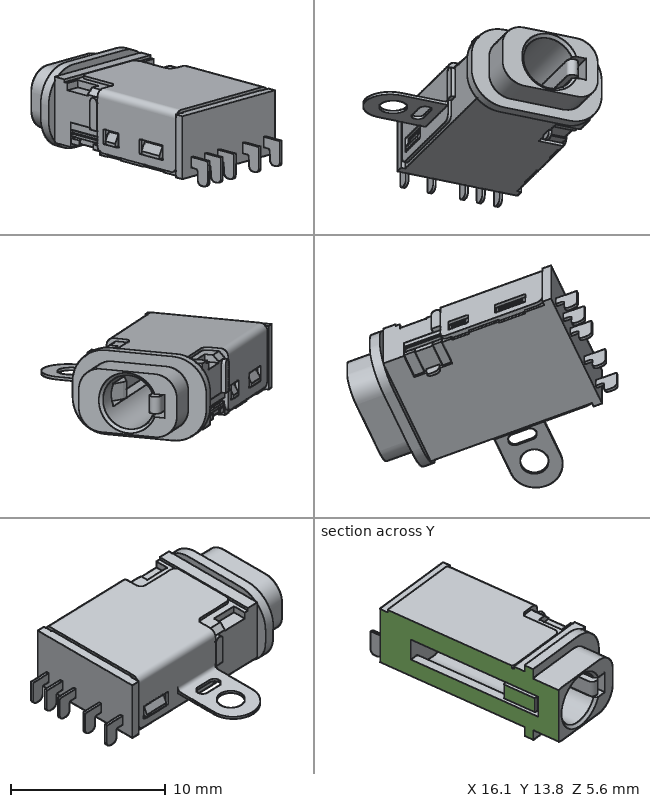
import cadquery as cq

sheet = 0.2
eps = 0.16

nose_width, nose_height, nose_radius = 6.77, 4.2, 1.5
flange_width, flange_height, flange_radius = 9.24, 5.6, 2.3
flange_front = 2.1
flange_back = 2.81

body_y = -0.1
body_half = 3.97
body_left = body_y + body_half
body_right = body_y - body_half
body_bottom = -nose_height / 2
top = 2.33
seat_top = top - sheet
lip_back = 3.68
corner_chamfer = 0.4

shell_front = 6.91
shell_back = 14.03
shell_half = 4.2
shell_left = body_y + shell_half
shell_right = body_y - shell_half
shell_bottom = -1.84
shell_bend = 0.5
shell_corner = 0.42
tongue_front = 3.75
tongue_half = 2.5

plate_front = 14.08
plate_back = 14.68
plate_half = 4.26

bore_radius = 1.8
bore_mouth_radius = 2.0
bore_depth = 12.11
contact_height = 1.13
contact_slot_height = 1.53
right_slot_floor = -2.54
left_slot_front = 1.71
left_slot_floor = 2.42

recess_front = 4.26
recess_top = -0.45
recess_floor = -2.34

pin_bottom = -2.54
pin_tip_width = 0.9
pin_tip_radius = 0.35
rear_pin_places = [3.2, 1.28, -1.02, -2.21, -3.44]

right_windows = [(7.45, 8.85), (10.72, 12.85)]
left_window = (11.27, 13.58)
body_notches = [(7.6, 8.79), (10.89, 12.71)]


def block(x0, x1, y0, y1, z0, z1):
    """Box between two values on each axis."""
    size = (x1 - x0, y1 - y0, z1 - z0)
    return cq.Workplane("XY").box(*size, centered=False).translate((x0, y0, z0))


def rounded_bar(x0, x1, width, height, radius):
    """Bar along the plug axis with rounded long edges."""
    bar = cq.Workplane("YZ", origin=(x0, 0, 0)).rect(width, height).extrude(x1 - x0)
    return bar.edges("|X").fillet(radius)


def mirrored_about_body(shape):
    """The shape together with its mirror image across the middle of the body."""
    return shape.union(shape.mirror("XZ", (0, body_y, 0)))


def make_body():
    lip = block(flange_back, lip_back, body_right, body_left, body_bottom, top)
    seat = block(lip_back - eps, plate_front + eps, body_right, body_left, body_bottom, seat_top)
    pocket_front, pocket_back = 3.97, 5.81
    pocket_depth, pocket_floor = 0.97, 1.65
    pocket = block(pocket_front, pocket_back, body_left - pocket_depth, body_left + eps, pocket_floor, top)
    bevel = (
        cq.Workplane("YZ", origin=(pocket_back, 0, 0))
        .moveTo(body_left - corner_chamfer, seat_top)
        .lineTo(body_left, seat_top)
        .lineTo(body_left, seat_top - corner_chamfer)
        .close()
        .extrude(plate_front - pocket_back)
    )
    seat = seat.cut(mirrored_about_body(pocket)).cut(mirrored_about_body(bevel))

    stop_width, stop_top = 0.61, 1.73
    stop_radius = stop_width / 2
    stop_front = shell_front - stop_width
    stop_outline = (
        cq.Workplane("XZ")
        .moveTo(shell_front, recess_top)
        .lineTo(shell_front, stop_top - stop_radius)
        .threePointArc((shell_front - stop_radius, stop_top), (stop_front, stop_top - stop_radius))
        .lineTo(stop_front, recess_top)
        .close()
    )
    stop_depth = plate_half - body_half + eps
    stop = stop_outline.extrude(stop_depth).translate((0, body_y + plate_half, 0))
    plate = block(plate_front, plate_back, body_y - plate_half, body_y + plate_half, body_bottom, seat_top)
    nose = rounded_bar(0, flange_front + eps, nose_width, nose_height, nose_radius)
    flange = rounded_bar(flange_front, flange_back, flange_width, flange_height, flange_radius)
    return nose.union(flange).union(lip).union(seat).union(mirrored_about_body(stop)).union(plate)


def make_shell():
    shell = block(shell_front, shell_back, shell_right, shell_left, shell_bottom, top)
    shell = shell.edges("|X and >Z").fillet(shell_bend)
    shell = shell.edges("|Y and <Z").fillet(shell_corner)
    arm_half = shell_half - shell_bend
    tongue_root = shell_front + 2 * shell_corner
    tongue = block(tongue_front, tongue_root, body_y - tongue_half, body_y + tongue_half, seat_top, top)
    root = block(shell_front, tongue_root, body_y - arm_half, body_y + arm_half, seat_top, top)
    tongue = tongue.edges("|Z and <X").fillet(shell_corner).union(root)
    for side in (-1, 1):
        inner_corner = cq.selectors.NearestToPointSelector((shell_front, body_y + side * tongue_half, top))
        tongue = tongue.edges("|Z").edges(inner_corner).fillet(shell_corner)
    return shell.union(tongue)


def make_latch_window(x0, x1):
    """Cutter for a window in the right shell wall, and the latch ramp that stands in it."""
    window_low, window_high, window_corner = -1.21, -0.21, 0.11
    side_gap = 0.26
    ramp_low, ramp_edge, ramp_high = -1.18, -0.95, -0.37
    latch_out = body_y - plate_half
    window = block(x0, x1, shell_right - eps, body_right, window_low, window_high)
    window = window.edges("|Y").fillet(window_corner)
    ramp = (
        cq.Workplane("YZ", origin=(x0 + side_gap, 0, 0))
        .polyline([
            (body_right + eps, ramp_low),
            (latch_out, ramp_low),
            (latch_out, ramp_edge),
            (body_right, ramp_high),
            (body_right + eps, ramp_high),
        ])
        .close()
        .extrude(x1 - x0 - 2 * side_gap)
    )
    return window, ramp


def add_latches(part):
    for x0, x1 in right_windows:
        window, ramp = make_latch_window(x0, x1)
        part = part.cut(window).union(ramp)
    window, ramp = make_latch_window(*left_window)
    part = part.cut(window.mirror("XZ", (0, body_y, 0))).union(ramp.mirror("XZ", (0, body_y, 0)))
    notch_depth = 0.1
    for x0, x1 in body_notches:
        part = part.cut(block(x0, x1, body_right, body_right + notch_depth, body_bottom, shell_bottom))
    return part


def make_bracket():
    """Screw lug that bends out of the left shell wall."""
    centre_x, half_width = 8.67, 1.75
    end_y, hole_y, hole_diameter = 7.41, 7.19, 1.82
    slot_y, slot_length, slot_width = 5.18, 1.94, 0.84
    upper_z, bend_radius = -0.61, 0.29
    root_y = shell_left - eps
    lug = block(centre_x - half_width, centre_x + half_width, root_y, end_y, upper_z - sheet, upper_z)
    lug_plane = cq.Workplane("XY", origin=(centre_x, 0, upper_z - sheet))
    lug = lug.union(lug_plane.center(0, end_y).circle(half_width).extrude(sheet))
    holes = lug_plane.center(0, hole_y).circle(hole_diameter / 2).extrude(sheet)
    holes = holes.union(lug_plane.center(0, slot_y).slot2D(slot_length, slot_width).extrude(sheet))
    bend = block(centre_x - half_width, centre_x + half_width, shell_left, shell_left + bend_radius,
                 upper_z, upper_z + bend_radius)
    bend_round = (
        cq.Workplane("YZ", origin=(centre_x - half_width, shell_left + bend_radius, upper_z + bend_radius))
        .circle(bend_radius)
        .extrude(2 * half_width)
    )
    return lug.cut(holes).union(bend.cut(bend_round))


def make_rear_pin(y):
    """Solder pin: an arm out of the rear plate that turns down into a rounded tip."""
    arm_top, arm_bottom, tip_back = -0.78, -1.49, 16.15
    top_round, inner_round = 0.06, 0.16
    tip_front = tip_back - pin_tip_width
    arm = block(plate_back - eps, tip_front + eps, y - sheet / 2, y + sheet / 2, arm_bottom, arm_top)
    leg = block(tip_front, tip_back, y - sheet / 2, y + sheet / 2, pin_bottom, arm_top)
    leg = leg.edges("|Y and <Z").fillet(pin_tip_radius)
    leg = leg.edges("|Y and >Z and >X").fillet(top_round)
    pin = arm.union(leg)
    inner_corner = cq.selectors.NearestToPointSelector((tip_front, y, arm_bottom))
    return pin.edges("|Y").edges(inner_corner).fillet(inner_round)


def make_bore():
    bore = cq.Workplane("YZ").circle(bore_radius).extrude(bore_depth)
    lead_in = bore_mouth_radius - bore_radius
    mouth = cq.Workplane("YZ").circle(bore_mouth_radius).workplane(offset=lead_in).circle(bore_radius).loft()
    slot_half = contact_slot_height / 2
    right_slot = block(0, bore_depth, right_slot_floor, 0, -slot_half, slot_half)
    left_slot = block(left_slot_front, bore_depth, 0, left_slot_floor, -slot_half, slot_half)
    flat_front, flat_half, flat_z = 6.46, 0.58, 1.63
    flat = block(flat_front, bore_depth, -flat_half, flat_half, flat_z, bore_radius + eps)
    return bore.cut(flat).union(mouth).union(right_slot).union(left_slot)


def contact_strip(points):
    """Contact of the common height, with its outline given in X and Y."""
    plane = cq.Workplane("XY", origin=(0, 0, -contact_height / 2))
    return plane.polyline(points).close().extrude(contact_height)


def make_contacts():
    """Rounded contact in the right slot and bent spring in the left slot."""
    back = bore_depth + eps
    nib_radius, nib_front, nib_inner = 0.39, 0.05, -1.35
    nib_length = back - nib_front
    nib_outer = nib_inner - 2 * nib_radius
    nib = (
        cq.Workplane("XY", origin=(nib_front + nib_length / 2, nib_inner - nib_radius, -contact_height / 2))
        .slot2D(nib_length, 2 * nib_radius)
        .extrude(contact_height)
    )
    ramp_front, ramp_back = 1.21, 1.45
    ramp = contact_strip([
        (ramp_front, right_slot_floor),
        (ramp_back, nib_outer),
        (ramp_back, nib_outer + eps),
        (back, nib_outer + eps),
        (back, right_slot_floor),
    ])
    ear_width = 0.23
    ear = block(ramp_back, back, nib_outer - ear_width, nib_outer, 0, contact_slot_height / 2)

    spring_front, spring_back = 1.97, 4.52
    spring_root, spring_shoulder = left_slot_floor + eps, 2.02
    bend_x, bend_y = 2.9, 1.44
    tip_x, tip_y = 3.23, 1.31
    spring = contact_strip([
        (spring_front, spring_root),
        (spring_front, spring_shoulder),
        (bend_x, bend_y),
        (tip_x, tip_y),
        (spring_back, spring_shoulder),
        (spring_back, spring_root),
    ])
    return nib.union(ramp).union(ear).union(spring)


def cut_recess(part):
    """Open the lower right side and leave the contact parts that show in it."""
    x0, x1 = recess_front, shell_front
    part = part.cut(block(x0, x1, body_right, recess_floor, body_bottom, recess_top))
    back = recess_floor + eps
    strip_face = body_right + 0.02
    web_face = body_right + 0.18
    foot_face = body_right + 0.06
    rail_face = body_right - 0.05
    strip_edge, strip_bottom = -0.92, -1.02
    slit_top, slit_bottom = -1.44, -1.53
    foot_bottom, tab_bottom = -1.89, -1.8
    tab_front, tab_back = 4.97, 6.23

    strip = (
        cq.Workplane("YZ", origin=(x0, 0, 0))
        .polyline([
            (back, recess_top),
            (strip_face, recess_top),
            (strip_face, strip_edge),
            (web_face, strip_bottom),
            (back, strip_bottom),
        ])
        .close()
        .extrude(x1 - x0)
    )
    web = block(x0, x1, web_face, back, slit_top, strip_bottom)
    rail_bottom, rail_top, rail_round = -1.34, -1.16, 0.25
    rail = block(x0, x1, rail_face, web_face + eps, rail_bottom, rail_top)
    rail = rail.edges("|Z and <Y").fillet(rail_round)
    slit_depth = 0.25
    tab = block(tab_front, tab_back, web_face, back, tab_bottom, slit_top)
    core = block(x0, x1, web_face + slit_depth, back, slit_bottom, slit_top)
    front_foot = block(x0, tab_front, foot_face, back, foot_bottom, slit_bottom)
    back_foot = block(tab_back, x1, foot_face, back, foot_bottom, slit_bottom)
    for piece in [strip, web, rail, tab, core, front_foot, back_foot]:
        part = part.union(piece)

    pin_x, pin_y = 5.59, recess_floor
    pin = block(pin_x - pin_tip_width / 2, pin_x + pin_tip_width / 2, pin_y - sheet / 2, pin_y + sheet / 2,
                pin_bottom, tab_bottom + eps)
    return part.union(pin.edges("|Y and <Z").fillet(pin_tip_radius))


part = make_body().union(make_shell()).union(make_bracket())
part = add_latches(part)
for pin_y in rear_pin_places:
    part = part.union(make_rear_pin(pin_y))
part = cut_recess(part)
result = part.cut(make_bore()).union(make_contacts())